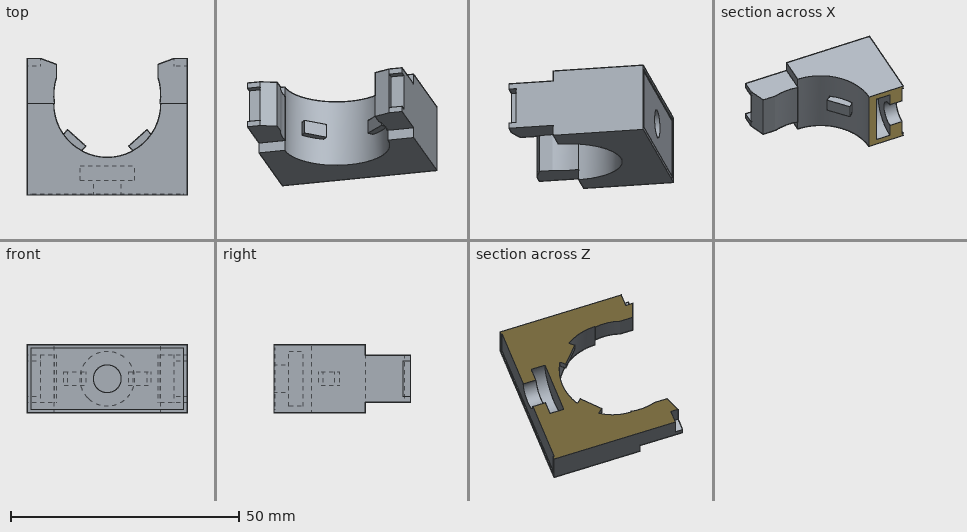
import cadquery as cq

WIDTH = 35.05
LENGTH = 29.97
HEIGHT = 14.99
BODY_LENGTH = 20.07
FRONT_Y = -LENGTH / 2
BACK_Y = LENGTH / 2
SHOULDER_Y = FRONT_Y + BODY_LENGTH

BORE_RADIUS = 11.68
BORE_FLOOR_THICKNESS = 8.3
BORE_Y = FRONT_Y + BORE_FLOOR_THICKNESS + BORE_RADIUS

ARM_HEIGHT = 10.36
ARM_GAP = 22.2
ARM_BORE_SHIFT = 2.1
TIP_FLAT_WIDTH = 2.9
TIP_BEVEL_DEPTH = 1.3

NOTCH_DEPTH = 1.65
NOTCH_HEIGHT = 7.87

PAD_WIDTH = 5.4
PAD_HEIGHT = 3.0
PAD_FACE_RADIUS = 10.0
PAD_ROOT = 3.0
PAD_ANGLE = 42.0

RECESS_MARGIN = 0.8
RECESS_DEPTH = 0.25

HOLE_RADIUS = 3.05
HOLE_DEPTH = 3.0
POCKET_RADIUS = 6.0
POCKET_DEPTH = 3.1


def box(x_range, y_range, height):
    """Box between the given X and Y limits, centred on Z = 0."""
    return cq.Workplane("XY").box(
        x_range[1] - x_range[0], y_range[1] - y_range[0], height
    ).translate((sum(x_range) / 2, sum(y_range) / 2, 0))


def bore(center_y):
    """Cylinder along Z that clears the gripped bar."""
    return (
        cq.Workplane("XY").center(0, center_y)
        .circle(BORE_RADIUS).extrude(HEIGHT / 2, both=True)
    )


def make_body():
    body = box((-WIDTH / 2, WIDTH / 2), (FRONT_Y, SHOULDER_Y), HEIGHT)
    return body.cut(bore(BORE_Y))


def make_right_arm():
    outer_x = WIDTH / 2
    inner_x = ARM_GAP / 2
    bevel_x = outer_x - TIP_FLAT_WIDTH
    arm = (
        cq.Workplane("XY")
        .moveTo(inner_x, SHOULDER_Y)
        .lineTo(outer_x, SHOULDER_Y)
        .lineTo(outer_x, BACK_Y)
        .lineTo(bevel_x, BACK_Y)
        .lineTo(inner_x, BACK_Y - TIP_BEVEL_DEPTH)
        .close()
        .extrude(ARM_HEIGHT / 2, both=True)
    )
    notch = box((bevel_x, outer_x), (BACK_Y - NOTCH_DEPTH, BACK_Y), NOTCH_HEIGHT)
    return arm.cut(bore(BORE_Y + ARM_BORE_SHIFT)).cut(notch)


def make_right_pad():
    pad = box(
        (-PAD_WIDTH / 2, PAD_WIDTH / 2),
        (-PAD_FACE_RADIUS - PAD_ROOT, -PAD_FACE_RADIUS),
        PAD_HEIGHT,
    )
    return pad.rotate((0, 0, 0), (0, 0, 1), PAD_ANGLE).translate((0, BORE_Y, 0))


def front_recess():
    half_width = WIDTH / 2 - RECESS_MARGIN
    return box(
        (-half_width, half_width),
        (FRONT_Y, FRONT_Y + RECESS_DEPTH),
        HEIGHT - 2 * RECESS_MARGIN,
    )


def cylinder_inward(radius, start_y, depth):
    """Cylinder on the Y axis running from start_y towards the bore."""
    return cq.Workplane("XZ", origin=(0, start_y, 0)).circle(radius).extrude(-depth)


def screw_hole():
    entry_y = FRONT_Y + RECESS_DEPTH
    entry = cylinder_inward(HOLE_RADIUS, entry_y, HOLE_DEPTH)
    pocket = cylinder_inward(POCKET_RADIUS, entry_y + HOLE_DEPTH, POCKET_DEPTH)
    return entry.union(pocket)


result = make_body()
for right_side in (make_right_arm(), make_right_pad()):
    result = result.union(right_side).union(right_side.mirror("YZ"))
result = result.cut(front_recess()).cut(screw_hole())